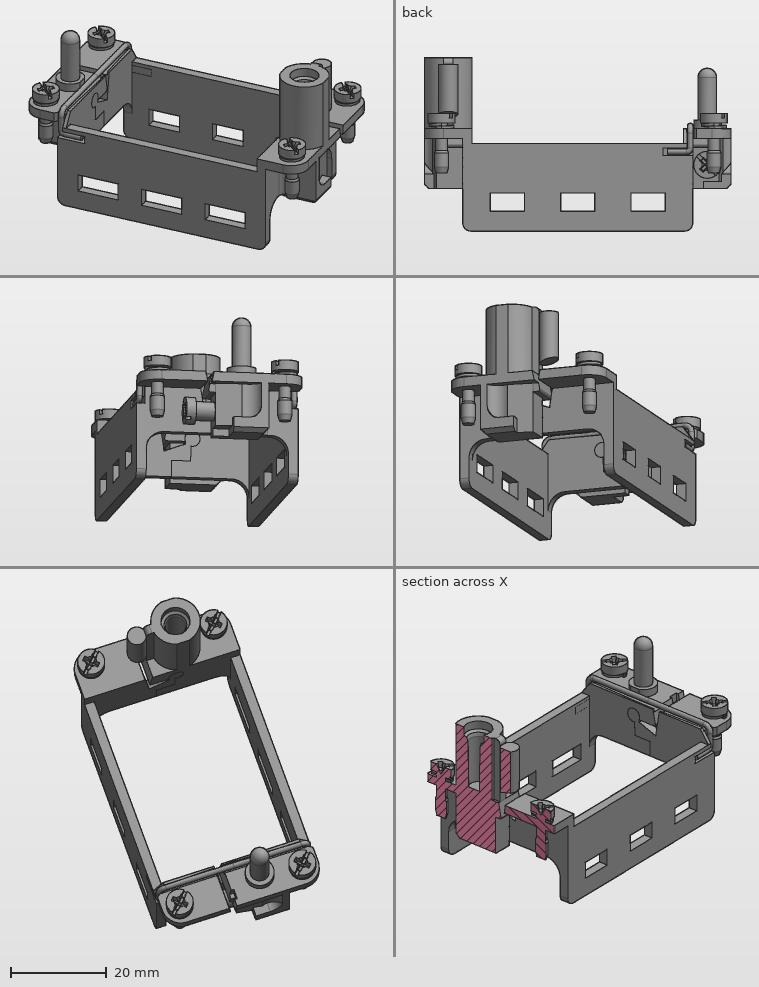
import cadquery as cq
import math

FRAME_LENGTH = 64.15
FRAME_WIDTH = 34.4
HALF_LENGTH = FRAME_LENGTH / 2
HALF_WIDTH = FRAME_WIDTH / 2
WALL_THICKNESS = 2.1
WALL_HEIGHT = 18.4
WALL_CORNER_RADIUS = 1.8
FLANGE_TOP = 21.45
FLANGE_THICKNESS = 2.05
FLANGE_BOTTOM = FLANGE_TOP - FLANGE_THICKNESS
FLANGE_CORNER_RADIUS = 4.0
END_INNER_X = HALF_LENGTH - 10.0
END_OUTER_X = HALF_LENGTH - 8.0
END_PLATE_BOTTOM = 9.9
ARCH_RADIUS = 3.75

WINDOW_PITCH = 14.7
WINDOW_BOTTOM = 4.2
WINDOW_HEIGHT = 3.8
FRONT_WINDOW_WIDTH = 9.25
BACK_WINDOW_WIDTH = 7.1

BACK_EDGE_TOP_Y = 3.85
BACK_EDGE_FLOOR_Y = 2.9
FRONT_EDGE_TOP_Y = 2.12
FRONT_EDGE_LIP_Y = 2.82
LIP_BOTTOM = 17.55
LIP_RADIUS = 0.5
GAP_FLOOR = 15.35
GAP_FLOOR_END = 17.0
TONGUE_BOTTOM = 13.4
TONGUE_ROOT_Y = 1.35
TONGUE_TIP_Y = -2.7
NECK_TIP_Y = -2.9
GAP_END_Y = -1.6
KNUCKLE_RADIUS = 1.6
KNUCKLE_Y = -3.1
KNUCKLE_Z = 18.15

BLOCK_FRONT_Y = -9.5
BLOCK_BACK_Y = TONGUE_ROOT_Y
BLOCK_BOTTOM = 8.9
BLOCK_CHAMFER = 0.95
BLOCK_WEB_RADIUS = 1.2
RECESS_DEPTH = 2.6
RECESS_CURVE_START_DEPTH = 1.75
TROUGH_DEPTH = 2.0
TROUGH_Y = -5.7
RECESS_FLOOR = 12.0
RECESS_FRONT_Y = -7.95
RECESS_CURVE_START_Y = -4.1
RECESS_CORNER_RADIUS = 2.7
RECESS_OPEN_Y = -2.1
UNDERCUT_Z = 10.45
UNDERCUT_DEPTH = 5.8
EDGE_NOTCH_START = 1.6
EDGE_NOTCH_LENGTH = 2.1
EDGE_NOTCH_Y = 1.55

SCREW_X = HALF_LENGTH - 3.6
SCREW_Y = HALF_WIDTH - 3.65
HEAD_DIAMETER = 5.65
HEAD_HEIGHT = 2.05
HEAD_BOTTOM = 22.6
HEAD_SLOT_WIDTH = 0.75
HEAD_SLOT_DEPTH = 1.0
HEAD_SLOT_ANGLE = -45
CROSS_LENGTH = 3.45
CROSS_WIDTH = 1.0
CROSS_DEPTH = 1.4
CROSS_TAPER = 8.0
SOCKET_DIAMETER = 2.3
SOCKET_DEPTH = 2.0
SHANK_DIAMETER = 2.5
THREAD_DIAMETER = 3.0
TIP_DIAMETER = 2.3
SHANK_END_Z = 16.9
THREAD_TOP_Z = 16.4
THREAD_END_Z = 13.4
TIP_Z = 12.2
WASHER_DIAMETER = 5.25
WASHER_BORE = 2.2
WASHER_THICKNESS = 0.55
WASHER_SINK = 0.03
WASHER_SPLIT_ANGLE = 90

GUIDE_X = HALF_LENGTH - 5.0
GUIDE_Y = -4.6
GUIDE_PIN_DIAMETER = 3.97
GUIDE_PIN_TOP = 34.1
COLLAR_DIAMETER = 6.05
COLLAR_TOP = 23.25
BUSHING_TOP = 36.3
BUSHING_RADIUS = 5.18
BUSHING_BORE = 6.05
BUSHING_BORE_DEPTH = 1.9
SEAT_DIAMETER = 4.75
SEAT_DEPTH = 2.3
FUNNEL_DEPTH = 3.2
GUIDE_HOLE_DIAMETER = 4.25
GUIDE_HOLE_END_DIAMETER = 3.97
GUIDE_HOLE_DEPTH = 14.0
KEY_DIAMETER = 4.0
KEY_Y = 3.95
KEY_TOP = 34.9
KEY_BOTTOM_OUTER = 25.05
KEY_BOTTOM_INNER = 23.9
RIB_WIDTH = 2.0
RIB_ROUNDING = 1.2

HINGE_SCREW_DIAMETER = 4.0
HINGE_SCREW_Z = 13.9
HINGE_HEAD_Y = 5.45

WIRE_DIAMETER = 1.2
WIRE_X = -(HALF_LENGTH - 8.55)
WIRE_SIDE_Y = HALF_WIDTH - 0.75
WIRE_TOP_Z = 22.0
WIRE_LEG_Z = 16.6
WIRE_TIP_X = -(HALF_LENGTH - 13.3)
WIRE_TOP_BEND = 1.5
WIRE_LEG_BEND = 0.8

GROOVE_LEFT_X = -(HALF_LENGTH - 7.8)
GROOVE_END_X = -(HALF_LENGTH - 9.2)
GROOVE_MIDDLE_X = -(HALF_LENGTH - 9.7)
GROOVE_DEPTH = 0.7
POCKET_DEPTH = 1.85
POCKET_BOTTOM = 15.8
POCKET_HEIGHT = 1.65
POCKET_END_X = -(HALF_LENGTH - 14.3)
FLANGE_EDGE_CHAMFER = 0.6
CORNER_SLOPE_RUN = 2.2


def box(x_range, y_range, z_range):
    """Box given by its end places along each axis."""
    size = [high - low for low, high in (x_range, y_range, z_range)]
    corner = (x_range[0], y_range[0], z_range[0])
    return cq.Workplane("XY").box(*size, centered=False).translate(corner)


def cylinder(x, y, z_range, diameter):
    """Upright cylinder between two heights."""
    low, high = z_range
    return cq.Workplane("XY", origin=(x, y, low)).circle(diameter / 2).extrude(high - low)


def side_profile(x_start):
    """Sketch plane with local axes Y and Z, extruding toward +X."""
    return cq.Workplane("YZ", origin=(x_start, 0, 0))



def long_wall(outer_y, inner_y, window_width):
    y_range = (min(outer_y, inner_y), max(outer_y, inner_y))
    wall = box((-END_OUTER_X, END_OUTER_X), y_range, (0, WALL_HEIGHT))
    wall = wall.edges("|Y and <Z").fillet(WALL_CORNER_RADIUS)
    for step in (-1, 0, 1):
        middle = step * WINDOW_PITCH
        window = box(
            (middle - window_width / 2, middle + window_width / 2),
            y_range,
            (WINDOW_BOTTOM, WINDOW_BOTTOM + WINDOW_HEIGHT),
        )
        wall = wall.cut(window)
    return wall



def end_shell():
    """Arched end plate with its screw flange on top, at the -X end."""
    inner_width = HALF_WIDTH - WALL_THICKNESS
    plate = box(
        (-END_OUTER_X, -END_INNER_X),
        (-HALF_WIDTH, HALF_WIDTH),
        (END_PLATE_BOTTOM - ARCH_RADIUS, FLANGE_TOP),
    )
    arch = box(
        (-END_OUTER_X, -END_INNER_X),
        (-inner_width, inner_width),
        (0, END_PLATE_BOTTOM),
    ).edges("|X and >Z").fillet(ARCH_RADIUS)
    flange = box(
        (-HALF_LENGTH, -END_INNER_X),
        (-HALF_WIDTH, HALF_WIDTH),
        (FLANGE_BOTTOM, FLANGE_TOP),
    ).edges("|Z and <X").fillet(FLANGE_CORNER_RADIUS)
    return plate.cut(arch).union(flange)


def back_zone():
    """Space of the back half: all behind the joint, and the hinge tongue with its knuckle."""
    behind = (
        side_profile(-HALF_LENGTH)
        .moveTo(TONGUE_ROOT_Y, 0)
        .lineTo(TONGUE_ROOT_Y, GAP_FLOOR)
        .lineTo(BACK_EDGE_FLOOR_Y, GAP_FLOOR)
        .lineTo(BACK_EDGE_TOP_Y, FLANGE_TOP)
        .lineTo(HALF_WIDTH, FLANGE_TOP)
        .lineTo(HALF_WIDTH, 0)
        .close()
        .extrude(HALF_LENGTH - END_INNER_X)
    )
    plate_thickness = END_OUTER_X - END_INNER_X
    tongue = (
        side_profile(-END_OUTER_X)
        .moveTo(BACK_EDGE_FLOOR_Y, TONGUE_BOTTOM)
        .lineTo(TONGUE_TIP_Y, TONGUE_BOTTOM)
        .lineTo(NECK_TIP_Y, KNUCKLE_Z)
        .lineTo(GAP_END_Y, KNUCKLE_Z)
        .lineTo(GAP_END_Y, GAP_FLOOR_END)
        .lineTo(BACK_EDGE_FLOOR_Y, GAP_FLOOR)
        .close()
        .extrude(plate_thickness)
    )
    knuckle = (
        side_profile(-END_OUTER_X)
        .center(KNUCKLE_Y, KNUCKLE_Z)
        .circle(KNUCKLE_RADIUS)
        .extrude(plate_thickness)
    )
    return behind.union(tongue).union(knuckle)


def front_lip(sketch):
    """Draw the front half's leaning edge, down round the lip to its underside."""
    middle = LIP_RADIUS * (1 - math.sqrt(0.5))
    return (
        sketch.lineTo(FRONT_EDGE_LIP_Y, LIP_BOTTOM + LIP_RADIUS)
        .threePointArc(
            (FRONT_EDGE_LIP_Y - middle, LIP_BOTTOM + middle),
            (FRONT_EDGE_LIP_Y - LIP_RADIUS, LIP_BOTTOM),
        )
        .lineTo(GAP_END_Y, LIP_BOTTOM)
    )


def joint_gap():
    """Open slot between the two half frames."""
    sketch = side_profile(-HALF_LENGTH).moveTo(BACK_EDGE_TOP_Y, FLANGE_TOP)
    sketch = sketch.lineTo(FRONT_EDGE_TOP_Y, FLANGE_TOP)
    return (
        front_lip(sketch)
        .lineTo(GAP_END_Y, GAP_FLOOR_END)
        .lineTo(BACK_EDGE_FLOOR_Y, GAP_FLOOR)
        .close()
        .extrude(HALF_LENGTH - END_INNER_X)
    )



def block_recess():
    """Pocket in the outer face: a slanting floor that ends in an upright round trough."""
    floor_x = -HALF_LENGTH + RECESS_DEPTH
    swept = (
        cq.Workplane("XY", origin=(0, 0, RECESS_FLOOR))
        .moveTo(-HALF_LENGTH, BLOCK_BACK_Y)
        .lineTo(floor_x, BLOCK_BACK_Y)
        .lineTo(-HALF_LENGTH + RECESS_CURVE_START_DEPTH, RECESS_CURVE_START_Y)
        .threePointArc((-HALF_LENGTH + TROUGH_DEPTH, TROUGH_Y), (-HALF_LENGTH, RECESS_FRONT_Y))
        .close()
        .extrude(FLANGE_BOTTOM - RECESS_FLOOR)
    )
    rounded = box(
        (-HALF_LENGTH, floor_x),
        (RECESS_FRONT_Y, BLOCK_BACK_Y),
        (RECESS_FLOOR, FLANGE_BOTTOM),
    ).edges("|X and <Y and <Z").fillet(RECESS_CORNER_RADIUS)
    opening = box(
        (-HALF_LENGTH, floor_x),
        (RECESS_OPEN_Y, BLOCK_BACK_Y),
        (BLOCK_BOTTOM, RECESS_FLOOR),
    ).intersect(swept.translate((0, 0, BLOCK_BOTTOM - RECESS_FLOOR)))
    return swept.intersect(rounded).union(opening)


def block_web():
    """Hollow-rounded corner between the block's front face and the end plate."""
    web_front_y = BLOCK_FRONT_Y - BLOCK_WEB_RADIUS
    web_outer_x = -END_OUTER_X - BLOCK_WEB_RADIUS
    z_range = (END_PLATE_BOTTOM, FLANGE_BOTTOM)
    web = box((web_outer_x, -END_OUTER_X), (web_front_y, BLOCK_FRONT_Y), z_range)
    return web.cut(cylinder(web_outer_x, web_front_y, z_range, 2 * BLOCK_WEB_RADIUS))


def block_lip():
    """Lip on the block's back face, following the front edge of the joint gap."""
    slope = (FRONT_EDGE_LIP_Y - FRONT_EDGE_TOP_Y) / (FLANGE_TOP - LIP_BOTTOM - LIP_RADIUS)
    edge_y = FRONT_EDGE_TOP_Y + slope * FLANGE_THICKNESS
    start_x = -HALF_LENGTH + RECESS_DEPTH
    sketch = side_profile(start_x).moveTo(GAP_END_Y, FLANGE_BOTTOM).lineTo(edge_y, FLANGE_BOTTOM)
    return front_lip(sketch).close().extrude(-END_OUTER_X - start_x)


def hinge_block():
    block = box(
        (-HALF_LENGTH, -END_OUTER_X),
        (BLOCK_FRONT_Y, BLOCK_BACK_Y),
        (BLOCK_BOTTOM, FLANGE_BOTTOM),
    )
    block = block.faces("<Z").edges("<X or <Y").chamfer(BLOCK_CHAMFER)
    return block.cut(block_recess()).union(block_web()).union(block_lip())



def screw_head():
    """Slotted cross-recess head standing on the origin."""
    head = cylinder(0, 0, (0, HEAD_HEIGHT), HEAD_DIAMETER)
    top = cq.Workplane("XY", origin=(0, 0, HEAD_HEIGHT))
    slot = top.rect(HEAD_DIAMETER, HEAD_SLOT_WIDTH).extrude(-HEAD_SLOT_DEPTH)
    cross = top.rect(CROSS_LENGTH, CROSS_WIDTH).extrude(-CROSS_DEPTH, taper=CROSS_TAPER)
    cross = cross.union(top.rect(CROSS_WIDTH, CROSS_LENGTH).extrude(-CROSS_DEPTH, taper=CROSS_TAPER))
    socket = cq.Workplane(obj=cq.Solid.makeCone(
        SOCKET_DIAMETER / 2, 0, SOCKET_DEPTH,
        pnt=cq.Vector(0, 0, HEAD_HEIGHT), dir=cq.Vector(0, 0, -1),
    ))
    head = head.cut(slot).cut(cross).cut(socket)
    return head.rotate((0, 0, 0), (0, 0, 1), HEAD_SLOT_ANGLE)


def spring_washer():
    """One turn of a helical lock washer between flange and head."""
    start_z = FLANGE_TOP - WASHER_SINK
    rise = HEAD_BOTTOM + WASHER_SINK - start_z - WASHER_THICKNESS
    bore_radius = WASHER_BORE / 2
    ring_width = WASHER_DIAMETER / 2 - bore_radius
    helix = cq.Workplane(obj=cq.Wire.makeHelix(rise, rise, WASHER_DIAMETER / 2))
    section = cq.Workplane("XZ").center(bore_radius, 0).rect(ring_width, WASHER_THICKNESS, centered=False)
    coil = section.sweep(helix, isFrenet=True)
    return coil.rotate((0, 0, 0), (0, 0, 1), WASHER_SPLIT_ANGLE).translate((0, 0, start_z))


def captive_screw(x, y):
    stem = (
        cq.Workplane("XZ")
        .moveTo(0, HEAD_BOTTOM)
        .lineTo(SHANK_DIAMETER / 2, HEAD_BOTTOM)
        .lineTo(SHANK_DIAMETER / 2, SHANK_END_Z)
        .lineTo(THREAD_DIAMETER / 2, THREAD_TOP_Z)
        .lineTo(THREAD_DIAMETER / 2, THREAD_END_Z)
        .lineTo(TIP_DIAMETER / 2, TIP_Z)
        .lineTo(0, TIP_Z)
        .close()
        .revolve(360, (0, 0, 0), (0, 1, 0))
    )
    head = screw_head().translate((0, 0, HEAD_BOTTOM))
    return stem.union(head).union(spring_washer()).translate((x, y, 0))


def hinge_screw():
    """Screw along +Y whose head stands clear of the left block."""
    shaft_length = HINGE_HEAD_Y - BLOCK_BACK_Y
    shaft = cylinder(0, 0, (-shaft_length, 0), HINGE_SCREW_DIAMETER)
    screw = screw_head().union(shaft).rotate((0, 0, 0), (1, 0, 0), -90)
    return screw.translate((-GUIDE_X, HINGE_HEAD_Y, HINGE_SCREW_Z))



def guide_pin():
    radius = GUIDE_PIN_DIAMETER / 2
    dome_z = GUIDE_PIN_TOP - radius
    pin = cylinder(-GUIDE_X, GUIDE_Y, (FLANGE_TOP, dome_z), GUIDE_PIN_DIAMETER)
    dome = cq.Workplane("XY").sphere(radius).translate((-GUIDE_X, GUIDE_Y, dome_z))
    collar = cylinder(-GUIDE_X, GUIDE_Y, (FLANGE_TOP, COLLAR_TOP), COLLAR_DIAMETER)
    return pin.union(dome).union(collar)


def bushing_hole():
    """Bore, conical seat, funnel and blind tapering guide hole from the top of the bushing."""
    hole_bottom = BUSHING_TOP - GUIDE_HOLE_DEPTH
    return (
        cq.Workplane("XZ")
        .moveTo(0, BUSHING_TOP)
        .lineTo(BUSHING_BORE / 2, BUSHING_TOP)
        .lineTo(BUSHING_BORE / 2, BUSHING_TOP - BUSHING_BORE_DEPTH)
        .lineTo(SEAT_DIAMETER / 2, BUSHING_TOP - SEAT_DEPTH)
        .lineTo(GUIDE_HOLE_DIAMETER / 2, BUSHING_TOP - FUNNEL_DEPTH)
        .lineTo(GUIDE_HOLE_END_DIAMETER / 2, hole_bottom)
        .lineTo(0, hole_bottom)
        .close()
        .revolve(360, (0, 0, 0), (0, 1, 0))
        .translate((GUIDE_X, GUIDE_Y, 0))
    )


def coding_key():
    """Round key post on a rib behind the bushing, its foot cut at a slant."""
    key = cylinder(GUIDE_X, KEY_Y, (KEY_BOTTOM_INNER, KEY_TOP), KEY_DIAMETER)
    key_back_y = KEY_Y + KEY_DIAMETER / 2
    slant = (
        side_profile(GUIDE_X - KEY_DIAMETER / 2)
        .moveTo(FRONT_EDGE_TOP_Y, KEY_BOTTOM_INNER)
        .lineTo(key_back_y, KEY_BOTTOM_OUTER)
        .lineTo(key_back_y, KEY_BOTTOM_INNER)
        .close()
        .extrude(KEY_DIAMETER)
    )
    rib = box(
        (GUIDE_X - RIB_WIDTH / 2, GUIDE_X + RIB_WIDTH / 2),
        (GUIDE_Y, FRONT_EDGE_TOP_Y),
        (FLANGE_TOP, BUSHING_TOP),
    ).edges("|X and >Y and >Z").fillet(RIB_ROUNDING)
    return key.cut(slant).union(rib)


def guide_bushing():
    """Bushing with its sides flattened to the width of the flange."""
    barrel = cylinder(GUIDE_X, GUIDE_Y, (FLANGE_TOP, BUSHING_TOP), 2 * BUSHING_RADIUS)
    flats = box(
        (END_INNER_X, HALF_LENGTH),
        (GUIDE_Y - BUSHING_RADIUS, GUIDE_Y + BUSHING_RADIUS),
        (FLANGE_TOP, BUSHING_TOP),
    )
    return barrel.intersect(flats).union(coding_key()).cut(bushing_hole())



def wire_groove():
    """Groove across the left flange, wider toward the middle."""
    floor = FLANGE_TOP - GROOVE_DEPTH
    return (
        cq.Workplane("XY", origin=(0, 0, floor))
        .moveTo(GROOVE_LEFT_X, -HALF_WIDTH)
        .lineTo(GROOVE_END_X, -HALF_WIDTH)
        .lineTo(GROOVE_MIDDLE_X, 0)
        .lineTo(GROOVE_END_X, HALF_WIDTH)
        .lineTo(GROOVE_LEFT_X, HALF_WIDTH)
        .close()
        .extrude(COLLAR_TOP - floor)
    )


def front_wire_pocket():
    """Upright and level pockets in the front wall, with the sloped corner over the bend."""
    y_range = (-HALF_WIDTH, -HALF_WIDTH + POCKET_DEPTH)
    upright = box((GROOVE_LEFT_X, GROOVE_END_X), y_range, (POCKET_BOTTOM, FLANGE_TOP))
    level = box((GROOVE_LEFT_X, POCKET_END_X), y_range, (POCKET_BOTTOM, POCKET_BOTTOM + POCKET_HEIGHT))
    slope = (
        side_profile(GROOVE_LEFT_X)
        .moveTo(-HALF_WIDTH, WALL_HEIGHT)
        .lineTo(-HALF_WIDTH, FLANGE_TOP)
        .lineTo(-HALF_WIDTH + CORNER_SLOPE_RUN, FLANGE_TOP)
        .close()
        .extrude(-END_INNER_X - GROOVE_LEFT_X)
    )
    edge_chamfer = (
        cq.Workplane("XY", origin=(0, 0, FLANGE_BOTTOM))
        .moveTo(GROOVE_LEFT_X, -HALF_WIDTH)
        .lineTo(GROOVE_LEFT_X - FLANGE_EDGE_CHAMFER, -HALF_WIDTH)
        .lineTo(GROOVE_LEFT_X, -HALF_WIDTH + FLANGE_EDGE_CHAMFER)
        .close()
        .extrude(FLANGE_THICKNESS)
    )
    return upright.union(level).union(slope).union(edge_chamfer)



def front_half_frame():
    body = long_wall(-HALF_WIDTH, -HALF_WIDTH + WALL_THICKNESS, FRONT_WINDOW_WIDTH)
    end = end_shell().cut(back_zone()).cut(joint_gap()).union(hinge_block())
    body = body.union(end.mirror("YZ"))
    undercut = box(
        (-HALF_LENGTH, -HALF_LENGTH + UNDERCUT_DEPTH),
        (RECESS_OPEN_Y, BLOCK_BACK_Y),
        (BLOCK_BOTTOM, UNDERCUT_Z),
    )
    notch_start_x = -HALF_LENGTH + EDGE_NOTCH_START
    edge_notch = box(
        (notch_start_x, notch_start_x + EDGE_NOTCH_LENGTH),
        (EDGE_NOTCH_Y, BACK_EDGE_TOP_Y),
        (FLANGE_BOTTOM, FLANGE_TOP),
    )
    body = body.union(end.cut(undercut).cut(edge_notch))
    body = body.union(guide_pin()).union(guide_bushing()).union(hinge_screw())
    body = body.cut(wire_groove()).cut(front_wire_pocket())
    for side in (-1, 1):
        body = body.union(captive_screw(side * SCREW_X, -SCREW_Y))
    return body



def back_half_frame():
    body = long_wall(HALF_WIDTH, HALF_WIDTH - WALL_THICKNESS, BACK_WINDOW_WIDTH)
    end = end_shell().intersect(back_zone())
    body = body.union(end).union(end.mirror("YZ"))
    body = body.cut(wire_groove()).cut(front_wire_pocket().mirror("XZ"))
    for side in (-1, 1):
        body = body.union(captive_screw(side * SCREW_X, SCREW_Y))
    return body



def spring_wire():
    """Round wire lying across the left flange, its legs hooked into both long walls."""
    corner = math.sqrt(0.5)
    top_inset = WIRE_TOP_BEND * (1 - corner)
    leg_inset = WIRE_LEG_BEND * (1 - corner)

    def half_path(side):
        """Straight and bent pieces of one leg, from its tip up to the crossing wire."""
        y = side * WIRE_SIDE_Y
        tip = cq.Vector(WIRE_TIP_X, y, WIRE_LEG_Z)
        leg_bend_start = cq.Vector(WIRE_X + WIRE_LEG_BEND, y, WIRE_LEG_Z)
        leg_bend_middle = cq.Vector(WIRE_X + leg_inset, y, WIRE_LEG_Z + leg_inset)
        leg_bend_end = cq.Vector(WIRE_X, y, WIRE_LEG_Z + WIRE_LEG_BEND)
        top_bend_start = cq.Vector(WIRE_X, y, WIRE_TOP_Z - WIRE_TOP_BEND)
        top_bend_middle = cq.Vector(WIRE_X, side * (WIRE_SIDE_Y - top_inset), WIRE_TOP_Z - top_inset)
        top_bend_end = cq.Vector(WIRE_X, side * (WIRE_SIDE_Y - WIRE_TOP_BEND), WIRE_TOP_Z)
        return [
            cq.Edge.makeLine(tip, leg_bend_start),
            cq.Edge.makeThreePointArc(leg_bend_start, leg_bend_middle, leg_bend_end),
            cq.Edge.makeLine(leg_bend_end, top_bend_start),
            cq.Edge.makeThreePointArc(top_bend_start, top_bend_middle, top_bend_end),
            cq.Edge.makeLine(top_bend_end, cq.Vector(WIRE_X, 0, WIRE_TOP_Z)),
        ]

    halves = []
    for side in (-1, 1):
        path = cq.Workplane(obj=cq.Wire.assembleEdges(half_path(side)))
        start = cq.Workplane("YZ", origin=(WIRE_TIP_X, side * WIRE_SIDE_Y, WIRE_LEG_Z))
        halves.append(start.circle(WIRE_DIAMETER / 2).sweep(path))
    return halves[0].union(halves[1])


front_half = front_half_frame()
back_half = back_half_frame()
wire = spring_wire()

result = cq.Compound.makeCompound([
    front_half.solids().val(),
    back_half.solids().val(),
    wire.solids().val(),
])